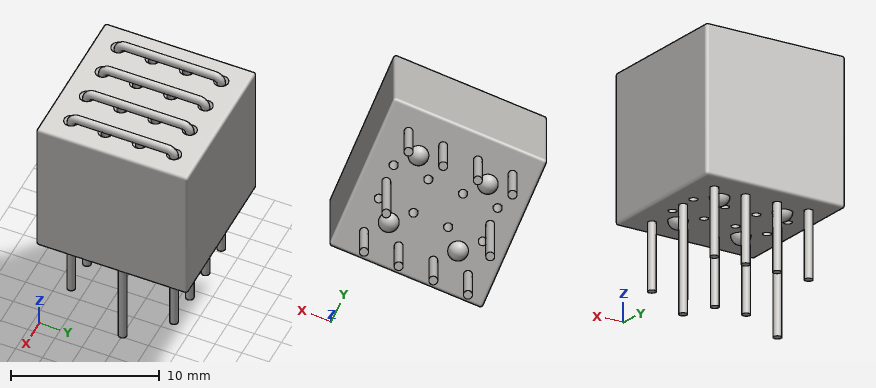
import cadquery as cq

HOUSING_WIDTH = 11.2
HOUSING_HEIGHT = 11.0
EDGE_RADIUS = 0.21

WIRE_DIAMETER = 0.6
GRID_PITCH = 2.54
GRID_COUNT = 4
BEND_RADIUS = 0.5
WIRE_LEG_DROP = 5.0
OVERALL_HEIGHT = 19.5
PIN_DROP = OVERALL_HEIGHT - HOUSING_HEIGHT - WIRE_DIAMETER
PIN_SOCKET_DEPTH = HOUSING_HEIGHT / 2

COUNTERSINK_DIAMETER = 1.01
COUNTERSINK_ANGLE = 90.0

FOOT_RADIUS = 0.7
FOOT_DROP = 0.65

WIRE_RADIUS = WIRE_DIAMETER / 2
ROW_OFFSETS = [(i - (GRID_COUNT - 1) / 2) * GRID_PITCH for i in range(GRID_COUNT)]
OUTER_ROW = ROW_OFFSETS[-1]
WIRE_TOP_AXIS = HOUSING_HEIGHT + WIRE_RADIUS
PIN_XS = (-OUTER_ROW, OUTER_ROW)


def make_wire(x):
    """Round wire bent into a staple: two long legs joined by a span resting on the top face."""
    bend_start = WIRE_TOP_AXIS - BEND_RADIUS
    span_end = OUTER_ROW - BEND_RADIUS
    path = (
        cq.Workplane("YZ", origin=(x, 0, 0))
        .moveTo(-OUTER_ROW, -WIRE_LEG_DROP)
        .lineTo(-OUTER_ROW, bend_start)
        .radiusArc((-span_end, WIRE_TOP_AXIS), BEND_RADIUS)
        .lineTo(span_end, WIRE_TOP_AXIS)
        .radiusArc((OUTER_ROW, bend_start), BEND_RADIUS)
        .lineTo(OUTER_ROW, -WIRE_LEG_DROP)
    )
    profile = cq.Workplane("XY", origin=(x, -OUTER_ROW, -WIRE_LEG_DROP)).circle(WIRE_RADIUS)
    return profile.sweep(path)


def make_pin(x):
    """Straight pin that hangs below the wire legs and ends inside the housing."""
    pin = cq.Workplane("XY", origin=(x, 0, -PIN_DROP)).circle(WIRE_RADIUS)
    return pin.extrude(PIN_DROP + PIN_SOCKET_DEPTH)


def make_feet():
    """Four balls sunk into the underside, so that only their lower caps stand out."""
    centre = cq.Workplane("XY", origin=(0, 0, FOOT_RADIUS - FOOT_DROP))
    return centre.rect(2 * GRID_PITCH, 2 * GRID_PITCH, forConstruction=True).vertices().sphere(FOOT_RADIUS)


def make_housing(pins):
    """Rounded block with feet, a 4 x 4 grid of countersunk wire holes and a blind socket for each pin."""
    block = cq.Workplane("XY").box(
        HOUSING_WIDTH, HOUSING_WIDTH, HOUSING_HEIGHT, centered=(True, True, False)
    )
    block = block.edges().fillet(EDGE_RADIUS)
    drilled_block = (
        block.faces(">Z")
        .workplane(origin=(0, 0, HOUSING_HEIGHT))
        .rarray(GRID_PITCH, GRID_PITCH, GRID_COUNT, GRID_COUNT)
        .cskHole(WIRE_DIAMETER, COUNTERSINK_DIAMETER, COUNTERSINK_ANGLE)
    )
    housing = drilled_block.union(make_feet())
    for pin in pins:
        housing = housing.cut(pin)
    return housing


wires = [make_wire(x) for x in ROW_OFFSETS]
pins = [make_pin(x) for x in PIN_XS]
housing = make_housing(pins)

result = cq.Compound.makeCompound(
    [housing.val(), *[wire.val() for wire in wires], *[pin.val() for pin in pins]]
)